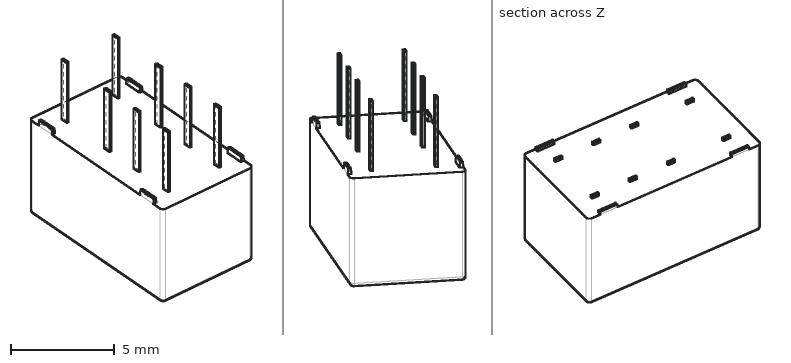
import cadquery as cq

body_length = 10.0
body_width = 5.7
body_height = 5.5
edge_radius = 0.2

pin_width = 0.4
pin_thickness = 0.12
pin_length = 3.5
pin_row_spacing = 3.2
pin_pitch = 2.2
pin_wide_gap = 3.2
last_pin_x = 3.8
pin_positions_x = [
    last_pin_x,
    last_pin_x - pin_pitch,
    last_pin_x - 2 * pin_pitch,
    last_pin_x - 2 * pin_pitch - pin_wide_gap,
]

foot_length = 1.0
foot_base_width = 0.2
foot_taper = 0.04
foot_height = 0.28
foot_spacing = 7.6


def make_body():
    block = cq.Workplane("XY").box(
        body_length, body_width, body_height, centered=(True, True, False)
    )
    return block.edges("|Z or <Z").fillet(edge_radius)


def make_pins():
    row_y = pin_row_spacing / 2
    centers = [(x, y) for x in pin_positions_x for y in (-row_y, row_y)]
    return (
        cq.Workplane("XY")
        .workplane(offset=body_height)
        .pushPoints(centers)
        .rect(pin_width, pin_thickness)
        .extrude(pin_length)
    )


def make_foot(x, side):
    """Trapezoidal foot centred at x, flush with the long face on the given side (+1 or -1)."""
    outer_y = side * body_width / 2
    inner_y = outer_y - side * foot_base_width
    top_z = body_height + foot_height
    profile = [
        (outer_y, body_height),
        (inner_y, body_height),
        (inner_y + side * foot_taper, top_z),
        (outer_y - side * foot_taper, top_z),
    ]
    return (
        cq.Workplane("YZ", origin=(x, 0, 0))
        .polyline(profile)
        .close()
        .extrude(foot_length / 2, both=True)
    )


result = make_body().union(make_pins())
for foot_x in (-foot_spacing / 2, foot_spacing / 2):
    for foot_side in (-1, 1):
        result = result.union(make_foot(foot_x, foot_side))